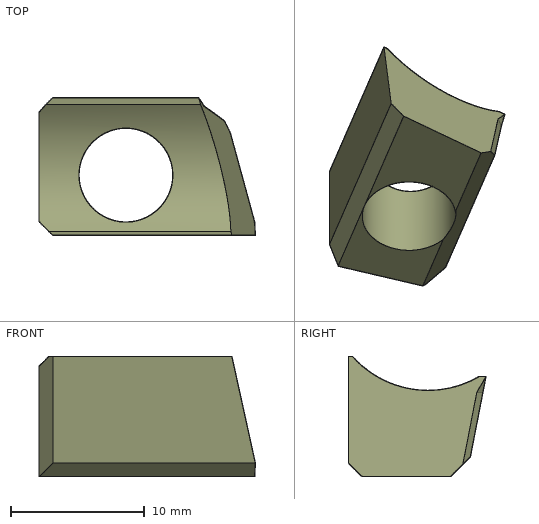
import cadquery as cq
import math

LENGTH = 16.19
WIDTH = 10.3
HEIGHT = 9.0
BACK_HEIGHT = 7.5
MARGIN = 1.0

BACK_SLOPE = math.tan(math.radians(11))
BACK_CHAMFER_TOP = 1.47

TROUGH_RADIUS = 7.55
TROUGH_Y = 5.95
TROUGH_Z = 14.0

END_SKEW = math.radians(15.3)
END_LEAN = math.radians(12)
END_PER_Y = math.tan(END_SKEW)
END_PER_Z = math.tan(END_LEAN) / math.cos(END_SKEW)

CHAMFER = 1.0
LEFT_CHAMFER = 1.03
CORNER_CHAMFER = 0.48
CORNER_RUNOUT_START = 6.3

HOLE_DIAMETER = 7.0
HOLE_X = 6.5
HOLE_Y = 4.5


def back_y(z):
    """Y of the leaning back side at a height."""
    return WIDTH - (BACK_HEIGHT - z) * BACK_SLOPE


def end_x(y, z):
    """X of the right end plane, which passes through the longest point of the front side."""
    return LENGTH - y * END_PER_Y - (z - CHAMFER) * END_PER_Z


def trough_reach(z):
    """Half the width of the trough at a height."""
    return math.sqrt(TROUGH_RADIUS**2 - (TROUGH_Z - z) ** 2)


def polygon_face(corners):
    return cq.Face.makeFromWires(cq.Wire.makePolygon(corners, close=True))


def solid_from_faces(faces):
    return cq.Solid.makeSolid(cq.Shell.makeShell(faces))


def make_bar():
    """Cross section with the trough and both bottom chamfers, extruded along X."""
    chamfer_back_y = back_y(BACK_CHAMFER_TOP)
    return (
        cq.Workplane("YZ")
        .moveTo(CHAMFER, 0)
        .lineTo(0, CHAMFER)
        .lineTo(0, HEIGHT)
        .lineTo(TROUGH_Y - trough_reach(HEIGHT), HEIGHT)
        .threePointArc(
            (TROUGH_Y, TROUGH_Z - TROUGH_RADIUS),
            (TROUGH_Y + trough_reach(BACK_HEIGHT), BACK_HEIGHT),
        )
        .lineTo(WIDTH, BACK_HEIGHT)
        .lineTo(chamfer_back_y, BACK_CHAMFER_TOP)
        .lineTo(chamfer_back_y - BACK_CHAMFER_TOP, 0)
        .close()
        .extrude(LENGTH + MARGIN)
    )


def make_end_cutter():
    """Everything beyond the right end plane."""
    origin = (end_x(0, 0), 0, 0)
    end_plane = cq.Plane(origin=origin, xDir=(-END_PER_Y, 1, 0), normal=(1, END_PER_Y, END_PER_Z))
    reach = LENGTH + WIDTH + HEIGHT
    return cq.Workplane(end_plane).rect(2 * reach, 2 * reach).extrude(reach)


def left_corner_cutter(edge_y, inward, slope):
    """Wedge along an upright edge of the left side; the edge leans by slope in Y."""
    leg = LEFT_CHAMFER + 2 * MARGIN

    def triangle(z):
        outer_y = edge_y + slope * z - inward * MARGIN
        points = [(-MARGIN, outer_y), (leg - MARGIN, outer_y), (-MARGIN, outer_y + inward * leg)]
        return cq.Wire.makePolygon([cq.Vector(x, y, z) for x, y in points], close=True)

    wedge = cq.Solid.makeLoft([triangle(-MARGIN), triangle(HEIGHT + MARGIN)], True)
    return cq.Workplane(wedge)


def make_corner_cutter():
    """Wedge along the edge between right end and back, tapering to a point at the back land."""

    def edge_point(z):
        return cq.Vector(end_x(back_y(z), z), back_y(z), z)

    along_end = cq.Vector(math.sin(END_SKEW), -math.cos(END_SKEW), 0) * CORNER_CHAMFER
    along_back = cq.Vector(-CORNER_CHAMFER, 0, 0)
    overshoot = along_end - along_back
    outward = -(along_end + along_back)
    offsets = [along_end + overshoot, along_back - overshoot, outward]

    low = [edge_point(-MARGIN) + offset for offset in offsets]
    high = [edge_point(CORNER_RUNOUT_START) + offset for offset in offsets]
    tip = edge_point(BACK_HEIGHT)
    faces = [polygon_face(low)]
    for i in range(len(offsets)):
        j = (i + 1) % len(offsets)
        faces.append(polygon_face([low[i], low[j], high[j], high[i]]))
        faces.append(polygon_face([high[i], high[j], tip]))
    return cq.Workplane(solid_from_faces(faces))


def make_hole_cutter():
    return cq.Workplane("XY").center(HOLE_X, HOLE_Y).circle(HOLE_DIAMETER / 2).extrude(HEIGHT)


result = (
    make_bar()
    .cut(make_end_cutter())
    .cut(left_corner_cutter(0, 1, 0))
    .cut(left_corner_cutter(back_y(0), -1, BACK_SLOPE))
    .cut(make_corner_cutter())
    .cut(make_hole_cutter())
)